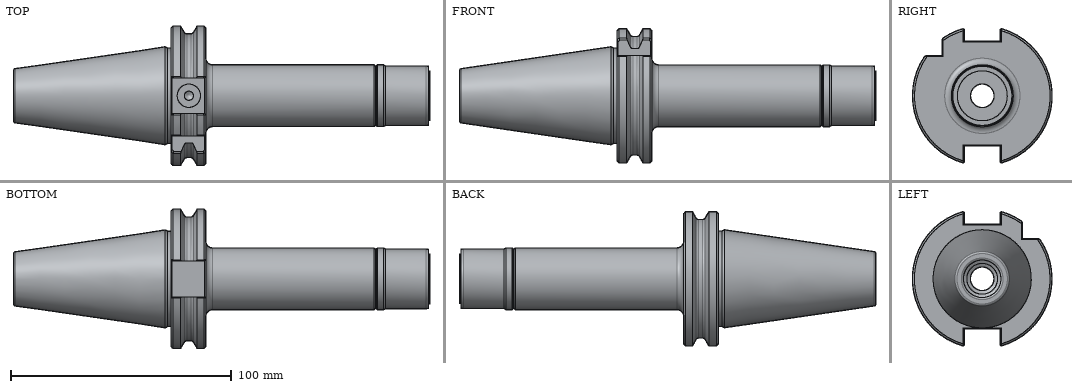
import cadquery as cq
import math

total_length = 188.8
gauge_x = 68.7
flange_front_x = 71.4
flange_width = 15.9
flange_rear_x = flange_front_x + flange_width
joint_x = 164.6
collar_length = 3.2
lip_length = 0.5

gauge_radius = 22.3
taper_slope = 7 / 48
tip_radius = gauge_radius - gauge_x * taper_slope
tip_fillet = 1.0
relief_radius = 21.7
relief_slope_length = 1.1

flange_radius = 31.7
rim_chamfer = 1.0
vee_center_x = flange_front_x + 8.1
vee_root_radius = 28.1
vee_half_width = 3.8
vee_half_angle = 30.0
vee_root_fillet = 1.3
vee_clearance = 1.9

slot_width = 16.2
top_slot_floor = 25.0
bottom_slot_floor = 22.8
notch_offset = 18.3
slot_edge_chamfer = 0.5

recess_radius = 5.3
recess_depth = 4.5
pilot_radius = 2.0
pilot_depth = 3.8

shank_radius = 28.1 / 2
shank_fillet = 3.0
joint_groove_width = 0.5
joint_groove_depth = 0.5
joint_chamfer = 0.5

through_radius = 5.3
mouth_fillet = 1.0
pilot_bore_radius = 8.5
pilot_bore_depth = 5.7
drill_radius = 7.0
drill_land = 0.5
drill_point_angle = 118.0

nut_radius = 13.5
nut_bevel_length = 1.1
nut_bevel_depth = 0.2
collar_step_length = 0.8
collar_chamfer = 0.4
lip_radius = 11.3


def revolve_about_x(profile):
    """Turn a closed (x, radius) profile drawn on the XZ plane about the X axis."""
    return profile.close().revolve(360, (0, 0, 0), (1, 0, 0))


def cone_length(large_radius, small_radius, included_angle):
    return (large_radius - small_radius) / math.tan(math.radians(included_angle / 2))


def make_taper():
    taper = revolve_about_x(
        cq.Workplane("XZ")
        .moveTo(0, 0)
        .lineTo(0, tip_radius)
        .lineTo(gauge_x, gauge_radius)
        .lineTo(gauge_x + relief_slope_length, relief_radius)
        .lineTo(flange_front_x, relief_radius)
        .lineTo(flange_front_x, 0)
    )
    return taper.faces("<X").edges().fillet(tip_fillet)


def slot_cutter(width, y_center, z_low, z_high):
    """Box running right through the flange along X."""
    return (
        cq.Workplane("XY")
        .box(flange_width, width, z_high - z_low, centered=(False, True, False))
        .translate((flange_front_x, y_center, z_low))
    )


def make_vee_groove():
    root_half_width = vee_half_width - (flange_radius - vee_root_radius) * math.tan(
        math.radians(vee_half_angle)
    )
    outer_radius = flange_radius + vee_clearance
    groove = revolve_about_x(
        cq.Workplane("XZ")
        .moveTo(vee_center_x - root_half_width, vee_root_radius)
        .lineTo(vee_center_x - vee_half_width, flange_radius)
        .lineTo(vee_center_x - vee_half_width, outer_radius)
        .lineTo(vee_center_x + vee_half_width, outer_radius)
        .lineTo(vee_center_x + vee_half_width, flange_radius)
        .lineTo(vee_center_x + root_half_width, vee_root_radius)
    )
    root_edges = cq.selectors.RadiusNthSelector(0)
    return groove.edges(root_edges).fillet(vee_root_fillet)


def outer_slot_edges(flange):
    """Edges around the slot walls, without the inner corners that two walls share."""
    wall_edges = [
        edge
        for wall in flange.faces("#X").faces("%PLANE").vals()
        for edge in wall.Edges()
    ]
    return [
        edge
        for edge in wall_edges
        if sum(edge.isSame(other) for other in wall_edges) == 1
    ]


def make_flange():
    disc = (
        cq.Workplane("YZ", origin=(flange_front_x, 0, 0))
        .circle(flange_radius)
        .extrude(flange_width)
        .edges()
        .chamfer(rim_chamfer)
    )
    top_slot = slot_cutter(slot_width, 0, top_slot_floor, flange_radius)
    bottom_slot = slot_cutter(slot_width, 0, -flange_radius, -bottom_slot_floor)
    notch_width = flange_radius - notch_offset
    notch = slot_cutter(
        notch_width, -notch_offset - notch_width / 2, notch_offset, flange_radius
    )
    slotted = disc.cut(top_slot).cut(bottom_slot).cut(notch)
    flange = slotted.newObject(outer_slot_edges(slotted)).chamfer(slot_edge_chamfer)
    return flange.cut(make_vee_groove())


def make_shank():
    arc_center_x = flange_rear_x + shank_fillet
    arc_center_radius = shank_radius + shank_fillet
    diagonal = shank_fillet * math.sqrt(0.5)
    groove_x = joint_x - joint_groove_width
    neck_radius = shank_radius - joint_groove_depth
    return revolve_about_x(
        cq.Workplane("XZ")
        .moveTo(flange_rear_x, 0)
        .lineTo(flange_rear_x, arc_center_radius)
        .threePointArc(
            (arc_center_x - diagonal, arc_center_radius - diagonal),
            (arc_center_x, shank_radius),
        )
        .lineTo(groove_x - joint_chamfer, shank_radius)
        .lineTo(groove_x, neck_radius)
        .lineTo(joint_x, neck_radius)
        .lineTo(joint_x, 0)
    )


def make_bore():
    lead_in_end_x = pilot_bore_depth + cone_length(pilot_bore_radius, drill_radius, drill_point_angle)
    land_end_x = lead_in_end_x + drill_land
    point_end_x = land_end_x + cone_length(drill_radius, through_radius, drill_point_angle)
    return revolve_about_x(
        cq.Workplane("XZ")
        .moveTo(0, 0)
        .lineTo(0, pilot_bore_radius + mouth_fillet)
        .radiusArc((mouth_fillet, pilot_bore_radius), -mouth_fillet)
        .lineTo(pilot_bore_depth, pilot_bore_radius)
        .lineTo(lead_in_end_x, drill_radius)
        .lineTo(land_end_x, drill_radius)
        .lineTo(point_end_x, through_radius)
        .lineTo(joint_x, through_radius)
        .lineTo(joint_x, 0)
    )


def make_slot_recess():
    """Flat-bottomed recess with a drilled pilot hole, going down from the top slot floor."""
    recess_floor = top_slot_floor - recess_depth
    pilot_floor = recess_floor - pilot_depth
    point_length = cone_length(pilot_radius, 0, drill_point_angle)
    return (
        cq.Workplane("XZ")
        .moveTo(0, top_slot_floor)
        .lineTo(recess_radius, top_slot_floor)
        .lineTo(recess_radius, recess_floor)
        .lineTo(pilot_radius, recess_floor)
        .lineTo(pilot_radius, pilot_floor)
        .lineTo(0, pilot_floor - point_length)
        .close()
        .revolve(360, (0, 0, 0), (0, 1, 0))
        .translate((vee_center_x, 0, 0))
    )


def make_holder():
    body = make_taper().union(make_flange()).union(make_shank())
    return body.cut(make_bore()).cut(make_slot_recess())


def make_nut():
    collar_end_x = joint_x + collar_length
    face_x = total_length - lip_length
    return revolve_about_x(
        cq.Workplane("XZ")
        .moveTo(joint_x, through_radius)
        .lineTo(joint_x, shank_radius - collar_chamfer)
        .lineTo(joint_x + collar_chamfer, shank_radius)
        .lineTo(collar_end_x, shank_radius)
        .lineTo(collar_end_x + collar_step_length, nut_radius)
        .lineTo(face_x - nut_bevel_length, nut_radius)
        .lineTo(face_x, nut_radius - nut_bevel_depth)
        .lineTo(face_x, lip_radius)
        .lineTo(total_length, lip_radius)
        .lineTo(total_length, through_radius)
    )


holder = make_holder()
nut = make_nut()

result = cq.Compound.makeCompound([holder.val(), nut.val()])